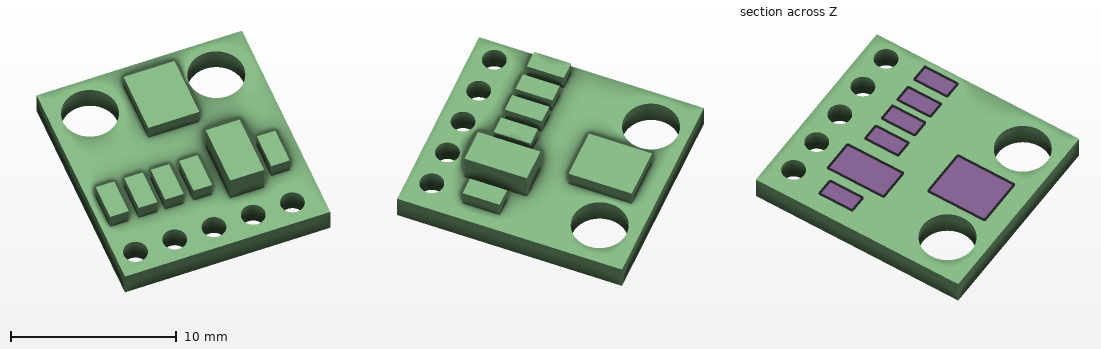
import cadquery as cq

BOARD_LENGTH = 14.6
BOARD_WIDTH = 13.3
BOARD_THICKNESS = 1.6

MOUNT_DIAMETER = 3.5
MOUNT_CENTERS = [(2.43, 2.5), (2.51, 10.65)]

PIN_DIAMETER = 1.5
PIN_COUNT = 5
PIN_PITCH = 2.54
PIN_ROW_X = 13.1
PIN_ROW_Y = 6.35

SENSOR_SIZE = (4.1, 3.3, 1.0)
SENSOR_CENTER = (3.37, 6.76)

REGULATOR_SIZE = (4.05, 2.2, 1.8)
REGULATOR_CENTER = (9.42, 9.15)

CHIP_SIZE = (2.4, 1.2, 1.0)
CHIP_COLUMN_X = 9.6
CHIP_ROWS_Y = [1.13, 2.98, 4.69, 6.53, 11.56]


def make_board():
    """Rectangular board with mounting holes and a row of pin holes."""
    board = cq.Workplane("XY").box(BOARD_LENGTH, BOARD_WIDTH, BOARD_THICKNESS, centered=False)
    board = board.cut(make_drills(MOUNT_CENTERS, MOUNT_DIAMETER))

    first_pin_y = PIN_ROW_Y - PIN_PITCH * (PIN_COUNT - 1) / 2
    pin_centers = [(PIN_ROW_X, first_pin_y + i * PIN_PITCH) for i in range(PIN_COUNT)]
    return board.cut(make_drills(pin_centers, PIN_DIAMETER))


def make_drills(centers, diameter):
    """Cylinders that pass through the full board thickness."""
    return cq.Workplane("XY").pushPoints(centers).circle(diameter / 2).extrude(BOARD_THICKNESS)


def make_component(size, center):
    """Block-shaped component standing on the top face of the board."""
    length, width, height = size
    top_face = cq.Workplane("XY").workplane(offset=BOARD_THICKNESS)
    return top_face.center(*center).rect(length, width).extrude(height)


result = make_board()
result = result.union(make_component(SENSOR_SIZE, SENSOR_CENTER))
result = result.union(make_component(REGULATOR_SIZE, REGULATOR_CENTER))
for chip_y in CHIP_ROWS_Y:
    result = result.union(make_component(CHIP_SIZE, (CHIP_COLUMN_X, chip_y)))